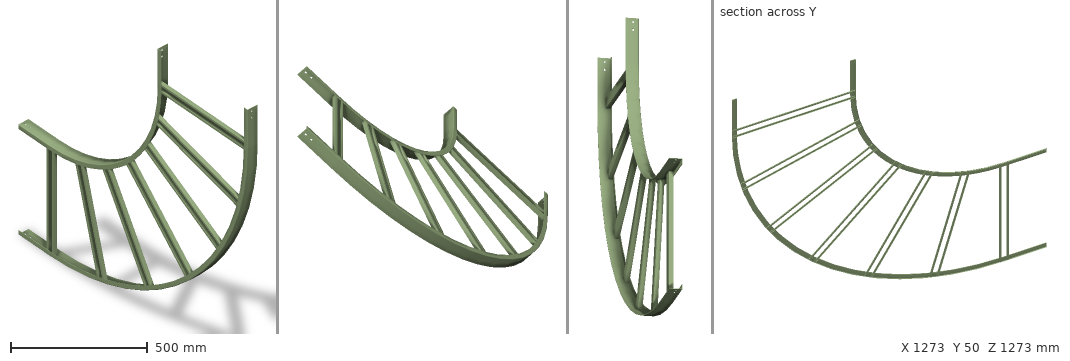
import cadquery as cq
import math

overall = 1273.0
outer_radius = 1100.0
inner_radius = 600.0
bend_angle = 90.0
leg_length = overall - outer_radius

rail_height = 50.0
flange_width = 20.0
sheet = 2.0
bend_radius = 3.0
inside_bend_radius = bend_radius - sheet

rung_count = 7
rung_width = 40.0
rung_back = 19.0
lip_width = 9.0
rung_pitch_angle = bend_angle / (rung_count - 1)

slot_count = 2
slot_length = 9.0
slot_width = 6.0
slot_from_flange = 22.0
slot_from_end = 15.0
slot_spacing = 29.0
slot_tilt = 90.0


def swap_legs(body):
    """Mirror image about the plane X = -Z, which exchanges the two straight legs."""
    return body.mirror(cq.Vector(1, 0, 1))


def angle_section(web_face, flange_direction):
    """L section on the XY plane; its flange points from the web face along the given X direction."""
    def across(distance):
        return web_face + flange_direction * distance

    outside_middle = bend_radius * (1 - math.sqrt(0.5))
    inside_middle = bend_radius - inside_bend_radius * math.sqrt(0.5)
    return (
        cq.Workplane("XY")
        .moveTo(across(0), rail_height)
        .lineTo(across(0), bend_radius)
        .threePointArc((across(outside_middle), outside_middle), (across(bend_radius), 0))
        .lineTo(across(flange_width), 0)
        .lineTo(across(flange_width), sheet)
        .lineTo(across(bend_radius), sheet)
        .threePointArc((across(inside_middle), inside_middle), (across(sheet), bend_radius))
        .lineTo(across(sheet), rail_height)
        .close()
    )


def make_rail(web_face, flange_direction):
    """Angle rail: quarter turn about the bend axis with a straight leg at both ends."""
    curve = angle_section(web_face, flange_direction).revolve(bend_angle, (0, 0, 0), (0, 1, 0))
    vertical_leg = angle_section(web_face, flange_direction).extrude(leg_length)
    return curve.union(vertical_leg).union(swap_legs(vertical_leg))


def make_rung():
    """Rung along +X, its ends buried in the middle of the two webs."""
    start = inner_radius + sheet / 2
    end = outer_radius - sheet / 2
    half = rung_width / 2
    lip_edge = half - lip_width
    return (
        cq.Workplane("YZ", origin=(start, 0, 0))
        .polyline([
            (sheet, lip_edge),
            (sheet, half),
            (rung_back, half),
            (rung_back, -half),
            (sheet, -half),
            (sheet, -lip_edge),
            (2 * sheet, -lip_edge),
            (2 * sheet, -half + sheet),
            (rung_back - sheet, -half + sheet),
            (rung_back - sheet, half - sheet),
            (2 * sheet, half - sheet),
            (2 * sheet, lip_edge),
        ])
        .close()
        .extrude(end - start)
    )


def make_leg_slots():
    """Slot cutters through both webs of the vertical legs."""
    slot_heights = [leg_length - slot_from_end - i * slot_spacing for i in range(slot_count)]
    return (
        cq.Workplane("YZ", origin=(inner_radius - sheet, 0, 0))
        .pushPoints([(slot_from_flange, height) for height in slot_heights])
        .slot2D(slot_length, slot_width, slot_tilt)
        .extrude(outer_radius - inner_radius + 2 * sheet)
    )


inner_rail = make_rail(inner_radius, 1)
outer_rail = make_rail(outer_radius, -1)
result = inner_rail.union(outer_rail)

rung = make_rung()
for i in range(rung_count):
    result = result.union(rung.rotate((0, 0, 0), (0, 1, 0), i * rung_pitch_angle))

leg_slots = make_leg_slots()
result = result.cut(leg_slots).cut(swap_legs(leg_slots))